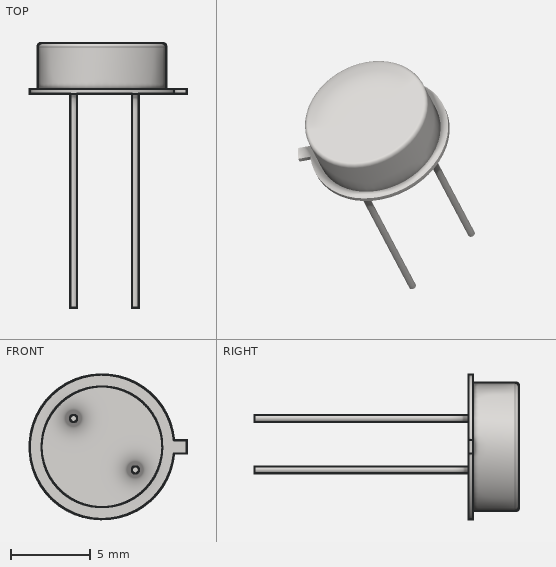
import cadquery as cq

overall_length = 16.7
can_height = 3.2
lead_length = overall_length - can_height

flange_radius = 4.567
flange_thickness = 0.3
can_radius = 4.05
wall_thickness = 0.25
rim_fillet = 0.25

tab_reach = 5.352
tab_width = 0.85

base_radius = can_radius - wall_thickness
base_thickness = flange_thickness
lead_radius = 0.225
lead_positions = [(-1.79, 1.79), (2.1, -1.45)]


def cylinder_along_y(radius, y_start, length, x=0, z=0):
    """Cylinder that starts at y_start and extends by length toward +Y."""
    return cq.Workplane(
        cq.Solid.makeCylinder(radius, length, cq.Vector(x, y_start, z), cq.Vector(0, 1, 0))
    )


def make_can():
    """Round can with a rounded far rim, a tabbed flange and a recess for the base."""
    can = cylinder_along_y(can_radius, 0, can_height)
    can = can.faces(">Y").edges().fillet(rim_fillet)
    flange = cylinder_along_y(flange_radius, 0, flange_thickness)
    tab = cq.Workplane().box(
        tab_reach, flange_thickness, tab_width, centered=(False, False, True)
    )
    recess = cylinder_along_y(base_radius, 0, base_thickness)
    return can.union(flange).union(tab).cut(recess)


def make_base():
    """Round plate, flush with the flange, carrying the two leads."""
    base = cylinder_along_y(base_radius, 0, base_thickness)
    for x, z in lead_positions:
        lead = cylinder_along_y(lead_radius, -lead_length, lead_length + base_thickness, x, z)
        base = base.union(lead)
    return base


can = make_can()
base = make_base()

result = cq.Compound.makeCompound([can.val(), base.val()])